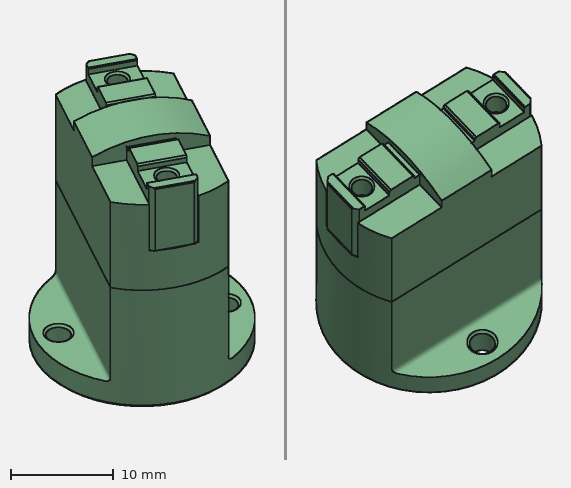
import cadquery as cq

OUTER_DIAMETER = 22.0
TOTAL_HEIGHT = 27.15
BODY_WIDTH = 12.0
SEAM_HEIGHT = 14.4

FLANGE_THICKNESS = 3.0
BOTTOM_CHAMFER = 0.5
ROOT_FILLET = 0.5
MOUNT_HOLE_DIAMETER = 2.47
MOUNT_HOLE_RIM_DIAMETER = 3.0
MOUNT_HOLE_OFFSET = 8.5

SHOULDER_HEIGHT = 24.73
BRIDGE_LENGTH = 6.14
BRIDGE_EDGE_HEIGHT = 25.82

BAR_WIDTH = 5.0
BAR_BOTTOM = 19.15
BAR_TOP = 26.77
BAR_CORNER_CHAMFER = 0.52
BAR_EDGE_CHAMFER = 0.1
POST_THICKNESS = 1.22
SCREW_FLOOR_HEIGHT = 26.0
PAD_OUTER_X = 6.8
PAD_INNER_X = 3.7
PAD_CHAMFER = 0.2
BRIDGE_FLOOR_HEIGHT = 26.3
SCREW_HOLE_DIAMETER = 2.0
SCREW_HOLE_RIM_DIAMETER = 2.47
SCREW_HOLE_OFFSET = 8.25
SCREW_HOLE_DEPTH = 2.72


def box_between(length, width, bottom, top):
    """Box centred on the Z axis, from one height to another."""
    return cq.Workplane("XY").workplane(offset=bottom).rect(length, width).extrude(top - bottom)


def flatted_cylinder(bottom, top):
    """Stretch of the round body with its two flats."""
    cylinder = cq.Workplane("XY").workplane(offset=bottom).circle(OUTER_DIAMETER / 2).extrude(top - bottom)
    return cylinder.intersect(box_between(OUTER_DIAMETER, BODY_WIDTH, bottom, top))


def chamfered_hole(x, y, top, depth, diameter, rim_diameter):
    """Cutting tool for a vertical hole with a 45 degree chamfer at its mouth."""
    radius = diameter / 2
    rim_radius = rim_diameter / 2
    profile = (
        cq.Workplane("XZ")
        .moveTo(0, top)
        .lineTo(rim_radius, top)
        .lineTo(radius, top - (rim_radius - radius))
        .lineTo(radius, top - depth)
        .lineTo(0, top - depth)
        .close()
    )
    return profile.revolve(360, (0, 0, 0), (0, 1, 0)).translate((x, y, 0))


def make_base():
    """Round flange carrying the lower half of the flatted body."""
    blank = (
        cq.Workplane("XY")
        .circle(OUTER_DIAMETER / 2)
        .extrude(SEAM_HEIGHT)
        .faces("<Z")
        .chamfer(BOTTOM_CHAMFER)
    )
    half_width = BODY_WIDTH / 2
    outer = OUTER_DIAMETER / 2
    side_cut = (
        cq.Workplane("YZ")
        .moveTo(half_width, SEAM_HEIGHT)
        .lineTo(half_width, FLANGE_THICKNESS + ROOT_FILLET)
        .radiusArc((half_width + ROOT_FILLET, FLANGE_THICKNESS), -ROOT_FILLET)
        .lineTo(outer, FLANGE_THICKNESS)
        .lineTo(outer, SEAM_HEIGHT)
        .close()
        .extrude(outer, both=True)
    )
    base = blank.cut(side_cut).cut(side_cut.mirror("XZ"))
    for side in (-1, 1):
        base = base.cut(
            chamfered_hole(
                0, side * MOUNT_HOLE_OFFSET, FLANGE_THICKNESS, FLANGE_THICKNESS,
                MOUNT_HOLE_DIAMETER, MOUNT_HOLE_RIM_DIAMETER,
            )
        )
    return base


def make_bar_blank():
    """Terminal bar: end posts, screw seats, raised pads and a low middle."""
    end_x = OUTER_DIAMETER / 2
    post_x = end_x - POST_THICKNESS
    right_half = [
        (0, BAR_BOTTOM),
        (end_x - BAR_EDGE_CHAMFER, BAR_BOTTOM),
        (end_x, BAR_BOTTOM + BAR_EDGE_CHAMFER),
        (end_x, BAR_TOP - BAR_EDGE_CHAMFER),
        (end_x - BAR_EDGE_CHAMFER, BAR_TOP),
        (post_x + BAR_EDGE_CHAMFER, BAR_TOP),
        (post_x, BAR_TOP - BAR_EDGE_CHAMFER),
        (post_x, SCREW_FLOOR_HEIGHT),
        (PAD_OUTER_X, SCREW_FLOOR_HEIGHT),
        (PAD_OUTER_X, BAR_TOP - PAD_CHAMFER),
        (PAD_OUTER_X - PAD_CHAMFER, BAR_TOP),
        (PAD_INNER_X + PAD_CHAMFER, BAR_TOP),
        (PAD_INNER_X, BAR_TOP - PAD_CHAMFER),
        (PAD_INNER_X, BRIDGE_FLOOR_HEIGHT),
        (0, BRIDGE_FLOOR_HEIGHT),
    ]
    profile = cq.Workplane("XZ").polyline(right_half).mirrorY()
    bar = profile.extrude(BAR_WIDTH / 2, both=True)
    corners = (
        box_between(OUTER_DIAMETER, BAR_WIDTH, BAR_BOTTOM, BAR_TOP)
        .edges("|Z")
        .chamfer(BAR_CORNER_CHAMFER)
    )
    return bar.intersect(corners)


def make_bar():
    """Terminal bar with its two blind screw holes."""
    bar = make_bar_blank()
    for side in (-1, 1):
        bar = bar.cut(
            chamfered_hole(
                side * SCREW_HOLE_OFFSET, 0, SCREW_FLOOR_HEIGHT, SCREW_HOLE_DEPTH,
                SCREW_HOLE_DIAMETER, SCREW_HOLE_RIM_DIAMETER,
            )
        )
    return bar


def make_cap():
    """Upper half of the flatted body, with an arched bridge over the bar's passage."""
    half_width = BODY_WIDTH / 2
    bridge = (
        cq.Workplane("YZ")
        .moveTo(-half_width, SHOULDER_HEIGHT)
        .lineTo(-half_width, BRIDGE_EDGE_HEIGHT)
        .threePointArc((0, TOTAL_HEIGHT), (half_width, BRIDGE_EDGE_HEIGHT))
        .lineTo(half_width, SHOULDER_HEIGHT)
        .close()
        .extrude(BRIDGE_LENGTH / 2, both=True)
    )
    passage = box_between(OUTER_DIAMETER, BAR_WIDTH, BAR_BOTTOM, BRIDGE_FLOOR_HEIGHT)
    return flatted_cylinder(SEAM_HEIGHT, SHOULDER_HEIGHT).union(bridge).cut(passage)


base = make_base().solids()
cap = make_cap().solids()
terminal_bar = make_bar().solids()

result = cq.Compound.makeCompound([base.val(), cap.val(), terminal_bar.val()])